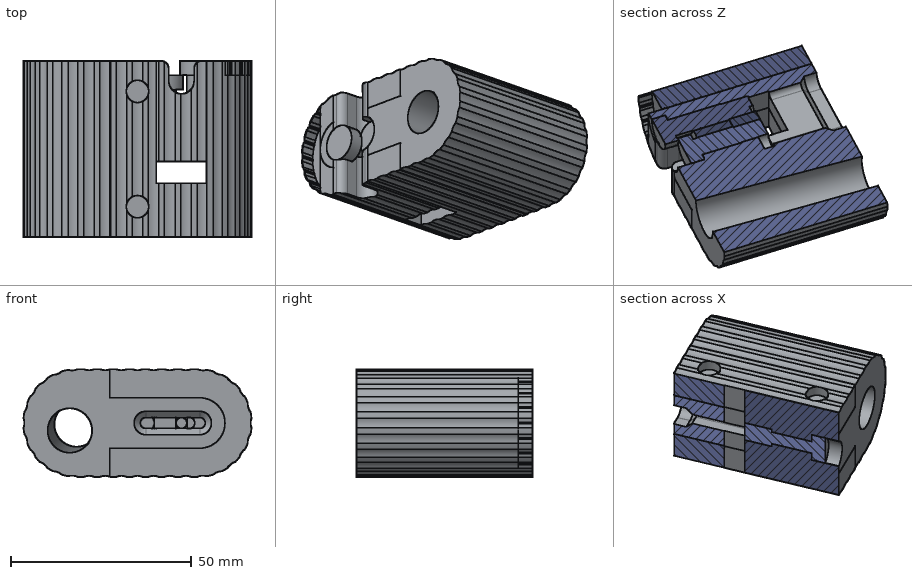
import cadquery as cq
import math

body_height = 30.0
body_depth = 49.0
end_radius = body_height / 2
end_center = 16.75
front = -body_depth / 2
back = body_depth / 2
reach = 50.0

flute_count = 36
flute_width = 2.95
flute_depth = 0.3
flute_radius = ((flute_width / 2) ** 2 + flute_depth ** 2) / (2 * flute_depth)

joint_x = -7.7
tongue_radius = 7.0
tongue_center = 17.3

bore_diameter = 12.3
bore_front = (-18.8, -2.1)
bore_back = (-16.9, -0.4)
bore_overrun = 5.0

slot_width = 3.0
slot_left = 2.3
slot_right = tongue_center
slot_mouth_width = 6.5
slot_mouth_depth = 3.75
slot_taper_angle = 45.0
pocket_diameter = 4.7
pocket_depth = 3.0

channel_width = 13.9
channel_x = 12.2
channel_front = -9.5
slider_front = -3.5

notch_width = 7.0
notch_depth = 9.15
notch_mouth_radius = 2.2

locking_pin_diameter = 6.2
locking_pin_y = 16.0
locking_pin_top = 12.0
locking_pin_bottom = 4.0

bolt_spacing = 9.1
left_bolt_x = channel_x - bolt_spacing / 2
right_bolt_x = channel_x + bolt_spacing / 2
tail_width = 5.9
tail_length = 8.0
shank_diameter = 6.2
head_diameter = 10.0
head_thickness = 4.0
right_head_end = back
left_head_end = back - head_thickness
dimple_diameter = 3.2
dimple_depth = 1.0
dimple_x = 14.3

center_pin_diameter = 3.0
center_pin_length = tail_length

recess_break = 0.01
recess_radius = end_radius - flute_depth + recess_break
recess_depth = 4.0
recess_left = tongue_center + tongue_radius


def box(x0, x1, y0, y1, z0, z1):
    """Block between the given limits."""
    return cq.Workplane("XY").box(x1 - x0, y1 - y0, z1 - z0, centered=False).translate((x0, y0, z0))


def plane_at(y):
    """XZ work plane at the given Y whose extrusions run towards +Y; local axes are X and -Z."""
    return cq.Workplane(cq.Plane(origin=(0, y, 0), xDir=(1, 0, 0), normal=(0, 1, 0)))


def cylinder_y(diameter, x, z, y0, y1):
    """Cylinder along Y."""
    return plane_at(y0).center(x, -z).circle(diameter / 2).extrude(y1 - y0)


def cylinder_z(diameter, x, y, z0, z1):
    """Cylinder along Z."""
    return cq.Workplane("XY", origin=(x, y, z0)).circle(diameter / 2).extrude(z1 - z0)


def stadium_y(x0, x1, width, y0, y1, taper=0.0):
    """Slot-shaped prism along Y whose arc centres lie at x0 and x1."""
    return (
        plane_at(y0)
        .center((x0 + x1) / 2, 0)
        .slot2D(x1 - x0 + width, width)
        .extrude(y1 - y0, taper=taper)
    )


def cut_all(body, tools):
    """Body with every tool removed in turn."""
    for tool in tools:
        body = body.cut(tool)
    return body


def flute_position(distance):
    """Point and outward direction on the upper outline, at a path distance from X = 0."""
    if distance <= end_center:
        return distance, end_radius, 0.0, 1.0
    angle = (distance - end_center) / end_radius
    outward_x = math.sin(angle)
    outward_z = math.cos(angle)
    return end_center + end_radius * outward_x, end_radius * outward_z, outward_x, outward_z


def flute_axes():
    """X, Z of every flute axis; one quarter is computed and mirrored."""
    perimeter = 4 * end_center + 2 * math.pi * end_radius
    pitch = perimeter / flute_count
    axis_offset = flute_radius - flute_depth
    axes = []
    for index in range(flute_count // 4 + 1):
        x, z, outward_x, outward_z = flute_position(index * pitch)
        axis_x = x + axis_offset * outward_x
        axis_z = z + axis_offset * outward_z
        sides = (1,) if index == 0 else (1, -1)
        levels = (1,) if index == flute_count // 4 else (1, -1)
        for side in sides:
            for level in levels:
                axes.append((side * axis_x, level * axis_z))
    return axes


def fluted_blank():
    """Whole outer shape before it is split into bodies."""
    blank = stadium_y(-end_center, end_center, body_height, front, back)
    flutes = [cylinder_y(2 * flute_radius, x, z, front, back) for x, z in flute_axes()]
    return cut_all(blank, flutes)


def frame_region():
    """Left end of the body plus the round-ended tongue."""
    left_end = box(-reach, joint_x, front, back, -reach, reach)
    tongue = stadium_y(joint_x, tongue_center, 2 * tongue_radius, front, back)
    return left_end.union(tongue)


def channel(y_start):
    """Rectangular channel along Z, from y_start to the back."""
    half = channel_width / 2
    return box(channel_x - half, channel_x + half, y_start, back, -reach, reach)


def notch():
    """Round-bottomed notch along Z with rounded mouth corners, open to the back."""
    half = notch_width / 2
    arc_y = back - notch_depth + half
    mouth_y = back - notch_mouth_radius
    mouth_half = half + notch_mouth_radius
    bend = notch_mouth_radius * (1 - math.sqrt(0.5))
    return (
        cq.Workplane("XY", origin=(channel_x, 0, -reach))
        .moveTo(-half, arc_y)
        .threePointArc((0, arc_y - half), (half, arc_y))
        .lineTo(half, mouth_y)
        .threePointArc((half + bend, back - bend), (mouth_half, back))
        .lineTo(-mouth_half, back)
        .threePointArc((-half - bend, back - bend), (-half, mouth_y))
        .close()
        .extrude(2 * reach)
    )


def bore():
    """Tilted cylinder between the axis points on the front and back faces."""
    start = cq.Vector(bore_front[0], front, bore_front[1])
    end = cq.Vector(bore_back[0], back, bore_back[1])
    direction = (end - start).normalized()
    origin = start - direction * bore_overrun
    length = (end - start).Length + 2 * bore_overrun
    return cq.Workplane(cq.Solid.makeCylinder(bore_diameter / 2, length, origin, direction))


def front_slot():
    """Narrow slot up to the slider, widened at the front by a straight mouth with a tapered bottom."""
    taper_start = front + slot_mouth_depth
    taper_length = (slot_mouth_width - slot_width) / 2 / math.tan(math.radians(slot_taper_angle))
    taper_end = taper_start + taper_length
    narrow = stadium_y(slot_left, slot_right, slot_width, front, slider_front)
    mouth = stadium_y(slot_left, slot_right, slot_mouth_width, front, taper_start)
    taper = stadium_y(slot_left, slot_right, slot_mouth_width, taper_start, taper_end, slot_taper_angle)
    pocket = cylinder_y(pocket_diameter, slot_left, 0, slider_front, slider_front + pocket_depth)
    return narrow.union(mouth).union(taper).union(pocket)


def bolt_shape(x, head_end):
    """Bolt along Y: square tail, round shank and round head ending at head_end."""
    half = tail_width / 2
    tail_end = slider_front + tail_length
    head_start = head_end - head_thickness
    tail = box(x - half, x + half, slider_front, tail_end, -half, half)
    shank = cylinder_y(shank_diameter, x, 0, tail_end, head_start)
    head = cylinder_y(head_diameter, x, 0, head_start, head_end)
    return tail.union(shank).union(head)


def locking_pin_shape(y, top):
    """Cylinder along Z for a locking pin or its hole."""
    return cylinder_z(locking_pin_diameter, 0, y, locking_pin_bottom, top)


blank = fluted_blank()
left_bolt = bolt_shape(left_bolt_x, left_head_end)
right_bolt_blank = bolt_shape(right_bolt_x, right_head_end)
locking_pin_places = (-locking_pin_y, locking_pin_y)

locking_holes = [locking_pin_shape(y, reach) for y in locking_pin_places]
locking_pins = [locking_pin_shape(y, locking_pin_top) for y in locking_pin_places]

left_head_access = cylinder_y(head_diameter, left_bolt_x, 0, left_head_end, back)
bolt_spaces = [left_bolt, right_bolt_blank, left_head_access]

center_pin = cylinder_y(center_pin_diameter, channel_x, 0, slider_front, slider_front + center_pin_length)


def make_frame():
    """Left end and tongue, with the bore, front slot, bolt spaces and pin holes."""
    frame = blank.intersect(frame_region())
    tools = [channel(channel_front), notch(), front_slot(), bore()]
    return cut_all(frame, tools + bolt_spaces + locking_holes)


def make_cover():
    """Right part that wraps around the tongue."""
    cover = blank.cut(frame_region())
    recess_circle = cylinder_y(2 * recess_radius, end_center, 0, back - recess_depth, back)
    beyond_tongue = box(recess_left, reach, front, back, -reach, reach)
    recess = recess_circle.intersect(beyond_tongue)
    return cut_all(cover, [channel(channel_front), notch(), recess] + locking_holes)


def make_slider():
    """Block in the rear of the channel, holding the centre pin and bolts."""
    slider = blank.intersect(channel(slider_front))
    return cut_all(slider, [notch(), center_pin] + bolt_spaces)


def make_right_bolt():
    """Right bolt with a shallow round dimple in the tail face."""
    dimple = cylinder_y(dimple_diameter, dimple_x, 0, slider_front, slider_front + dimple_depth)
    return right_bolt_blank.cut(dimple)


frame = make_frame()
cover = make_cover()
slider = make_slider()
right_bolt = make_right_bolt()

result = cq.Compound.makeCompound(
    [
        frame.val(),
        cover.val(),
        slider.val(),
        left_bolt.val(),
        right_bolt.val(),
        center_pin.val(),
        *[pin.val() for pin in locking_pins],
    ]
)